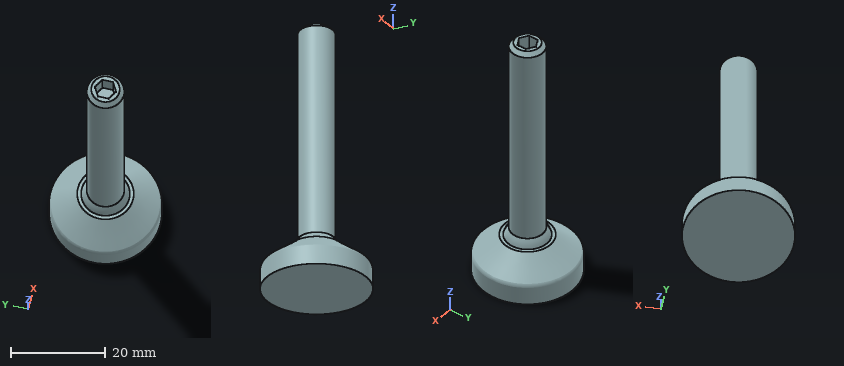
import cadquery as cq
import math

total_height = 61.55

pad_radius = 24.0 / 2
pad_edge_height = 5.0
pad_height = 9.5
pad_flat_radius = 12.0 / 2
pad_edge_fillet = 1.0

stem_radius = 8.0 / 2
stem_start_height = 11.5
stem_tip_chamfer = 1.0

ball_radius = 5.4
ball_center_height = stem_start_height - math.sqrt(ball_radius**2 - stem_radius**2)

socket_across_flats = 4.0
socket_depth = 4.0


def make_pad():
    blank = (
        cq.Workplane("XZ")
        .polyline([
            (0, 0),
            (pad_radius, 0),
            (pad_radius, pad_edge_height),
            (pad_flat_radius, pad_height),
            (0, pad_height),
        ])
        .close()
        .revolve(360, (0, 0, 0), (0, 1, 0))
    )
    return blank.faces("%CONE").edges("<Z").fillet(pad_edge_fillet)


def make_ball():
    return cq.Workplane("XY").sphere(ball_radius).translate((0, 0, ball_center_height))


def make_stem():
    return (
        cq.Workplane("XY")
        .workplane(offset=ball_center_height)
        .circle(stem_radius)
        .extrude(total_height - ball_center_height)
        .faces(">Z")
        .chamfer(stem_tip_chamfer)
    )


def make_socket():
    across_corners = socket_across_flats / math.cos(math.pi / 6)
    return (
        cq.Workplane("XY")
        .workplane(offset=total_height - socket_depth)
        .transformed(rotate=(0, 0, 90))
        .polygon(6, across_corners)
        .extrude(socket_depth)
    )


result = make_pad().union(make_ball()).union(make_stem()).cut(make_socket())